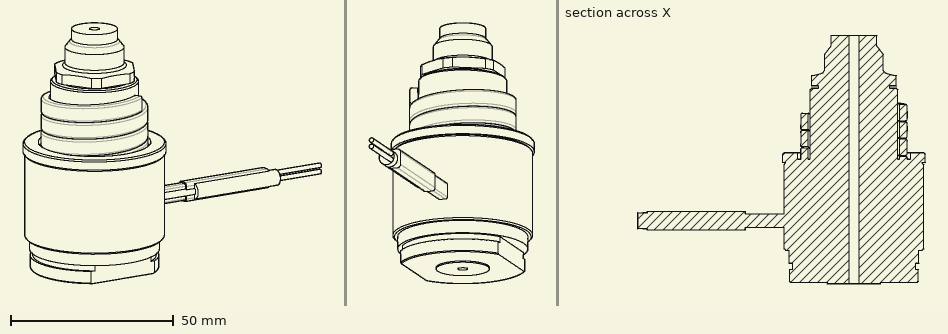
import cadquery as cq

TOTAL_HEIGHT = 76.3
BORE_DIAMETER = 3.0

BOSS_RADIUS = 8.2
BOSS_TOP = 0.4
FOOT_RADIUS = 19.8
FOOT_TOP = 4.4
FOOT_CHAMFER = 0.3
NECK_RADIUS = 19.0
NECK_TOP = 6.3
FOOT_ACROSS_FLATS = 32.0
COLLAR_RADIUS = 20.0
COLLAR_TOP = 10.2

BODY_RADIUS = 21.5
BODY_TOP = 37.2
BODY_CHAMFER = 0.5
FLANGE_RADIUS = 22.0
FLANGE_TOP = 40.3
FLANGE_CHAMFER = 0.5
RECESS_RADIUS = 17.3
RECESS_DEPTH = 2.0

CORE_RADIUS = 13.55
CORE_TOP = 60.1
CORE_CHAMFER = 0.5

COIL_RADIUS = 16.4
COIL_INNER_RADIUS = 14.0
COIL_PITCH = 5.3
COIL_GAP = 0.2
COIL_FILLET = 0.6
COIL_TURNS = 4
COIL_END_ANGLE = 30.0
COIL_END_TOP = 56.85

HEX_STEM_RADIUS = 11.0
HEX_BOTTOM = 60.8
HEX_EDGE_TOP = 63.9
HEX_ACROSS_FLATS = 24.0
HEX_CORNER_RADIUS = 13.05
HEX_CONE_RADIUS = 9.8
HEX_CONE_TOP = 64.7

BARREL_RADIUS = 9.1
BARREL_BOTTOM = 65.5
BARREL_TOP = 70.5
TAPER_RADIUS = 7.7
TAPER_TOP = 72.3
CAP_RADIUS = 7.1
CAP_BOTTOM = 73.0

CABLE_Z = 19.35
FLAT_CABLE_X = -1.45
FLAT_CABLE_SIZE = (3.0, 5.2)
FLAT_CABLE_FILLET = 0.6
SLEEVE_SIZE = (4.0, 6.0)
SLEEVE_FILLET = 1.0
SLEEVE_START = 33.3
SLEEVE_END = 63.5
ROUND_CABLE_RADIUS = 1.1
TUBE_RADIUS = 2.5
TUBE_START = 36.3
TUBE_END = 66.4
WIRE_RADIUS = 0.75
WIRE_SPACING = 2.0
WIRE_END = 83.5
CABLE_EMBEDDING = 1.5
CABLE_ROOT = BODY_RADIUS - CABLE_EMBEDDING


def disc(radius, bottom, top):
    """Cylinder on the main axis between two heights."""
    return cq.Workplane("XY").workplane(offset=bottom).circle(radius).extrude(top - bottom)


def make_base():
    foot = disc(FOOT_RADIUS, BOSS_TOP, FOOT_TOP).faces("<Z").chamfer(FOOT_CHAMFER)
    neck = disc(NECK_RADIUS, FOOT_TOP, NECK_TOP)
    flats = cq.Workplane("XY").box(
        FOOT_ACROSS_FLATS, 2 * COLLAR_RADIUS, NECK_TOP, centered=(True, True, False)
    )
    boss = disc(BOSS_RADIUS, 0, BOSS_TOP)
    collar = disc(COLLAR_RADIUS, NECK_TOP, COLLAR_TOP)
    return foot.union(neck).intersect(flats).union(boss).union(collar)


def make_body():
    body = disc(BODY_RADIUS, COLLAR_TOP, BODY_TOP).edges().chamfer(BODY_CHAMFER)
    flange = disc(FLANGE_RADIUS, BODY_TOP, FLANGE_TOP).faces(">Z").chamfer(FLANGE_CHAMFER)
    recess = disc(RECESS_RADIUS, FLANGE_TOP - RECESS_DEPTH, FLANGE_TOP)
    return body.union(flange.cut(recess))


def make_core():
    return disc(CORE_RADIUS, BODY_TOP, CORE_TOP).faces(">Z").chamfer(CORE_CHAMFER)


def make_coil():
    """Helical strip with rounded outer edges; its lowest turn is rooted in the body."""
    strip_height = COIL_PITCH - COIL_GAP
    rise = COIL_PITCH * COIL_TURNS
    start_z = COIL_END_TOP - strip_height - rise
    section = (
        cq.Workplane("XZ")
        .moveTo(COIL_INNER_RADIUS, 0)
        .lineTo(COIL_RADIUS - COIL_FILLET, 0)
        .radiusArc((COIL_RADIUS, COIL_FILLET), -COIL_FILLET)
        .lineTo(COIL_RADIUS, strip_height - COIL_FILLET)
        .radiusArc((COIL_RADIUS - COIL_FILLET, strip_height), -COIL_FILLET)
        .lineTo(COIL_INNER_RADIUS, strip_height)
        .close()
    )
    path = cq.Wire.makeHelix(COIL_PITCH, rise, COIL_RADIUS)
    coil = section.sweep(cq.Workplane(path), isFrenet=True)
    return coil.rotate((0, 0, 0), (0, 0, 1), COIL_END_ANGLE).translate((0, 0, start_z))


def make_nozzle():
    """Turned head: stem, conical hexagon, barrel, taper and cap."""
    profile = (
        cq.Workplane("XZ")
        .moveTo(0, CORE_TOP)
        .lineTo(HEX_STEM_RADIUS, CORE_TOP)
        .lineTo(HEX_STEM_RADIUS, HEX_BOTTOM)
        .lineTo(HEX_CORNER_RADIUS, HEX_BOTTOM)
        .lineTo(HEX_CORNER_RADIUS, HEX_EDGE_TOP)
        .lineTo(HEX_CONE_RADIUS, HEX_CONE_TOP)
        .lineTo(BARREL_RADIUS, BARREL_BOTTOM)
        .lineTo(BARREL_RADIUS, BARREL_TOP)
        .lineTo(TAPER_RADIUS, TAPER_TOP)
        .lineTo(CAP_RADIUS, CAP_BOTTOM)
        .lineTo(CAP_RADIUS, TOTAL_HEIGHT)
        .lineTo(0, TOTAL_HEIGHT)
        .close()
    )
    head = profile.revolve(360, (0, 0, 0), (0, 1, 0))
    hexagon = (
        cq.Workplane("XY")
        .workplane(offset=CORE_TOP)
        .polygon(6, HEX_ACROSS_FLATS, circumscribed=True)
        .extrude(TOTAL_HEIGHT - CORE_TOP)
    )
    return head.intersect(hexagon)


def along_y(x, z, start):
    """Sketch plane at (x, start, z) whose extrusion runs towards +Y."""
    return cq.Workplane(cq.Plane(origin=(x, start, z), xDir=(-1, 0, 0), normal=(0, 1, 0)))


def rod(x, z, radius, start, end):
    return along_y(x, z, start).circle(radius).extrude(end - start)


def rounded_bar(size, fillet, start, end):
    bar = along_y(FLAT_CABLE_X, CABLE_Z, start).rect(*size).extrude(end - start)
    return bar.edges("|Y").fillet(fillet)


def make_cable():
    cable = rounded_bar(FLAT_CABLE_SIZE, FLAT_CABLE_FILLET, CABLE_ROOT, SLEEVE_START)
    cable = cable.union(rounded_bar(SLEEVE_SIZE, SLEEVE_FILLET, SLEEVE_START, SLEEVE_END))
    cable = cable.union(rod(0, CABLE_Z, ROUND_CABLE_RADIUS, CABLE_ROOT, TUBE_START))
    cable = cable.union(rod(0, CABLE_Z, TUBE_RADIUS, TUBE_START, TUBE_END))
    for side in (-1, 1):
        wire_z = CABLE_Z + side * WIRE_SPACING / 2
        cable = cable.union(rod(FLAT_CABLE_X, wire_z, WIRE_RADIUS, TUBE_END, WIRE_END))
    return cable


bore = disc(BORE_DIAMETER / 2, 0, TOTAL_HEIGHT)
result = (
    make_base()
    .union(make_body())
    .union(make_core())
    .union(make_coil())
    .union(make_nozzle())
    .union(make_cable())
    .cut(bore)
)